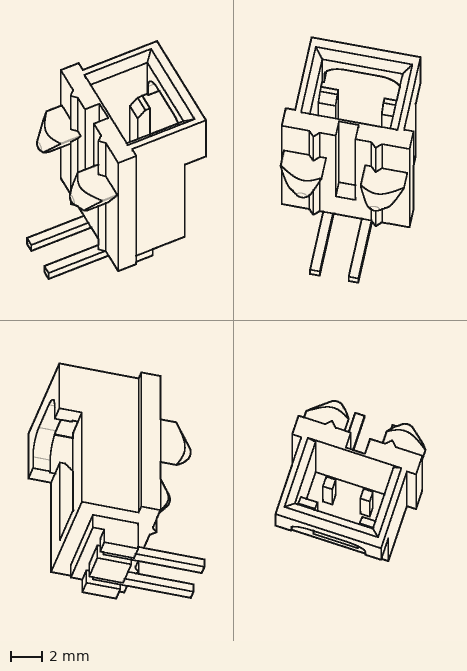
import cadquery as cq
import math


total_height = 13.59
housing_bottom = 2.15
housing_width = 7.15
housing_back = 6.59
lower_back = 5.08
overhang_bottom = 9.76

plate_width = 8.39
plate_thickness = 1.29
rib_outer_edge = 2.39
rib_depth = 0.35
key_slot_width = 1.29
key_slot_depth = 1.03
key_slot_bottom = 4.72

cavity_width = 5.27
cavity_front = 1.2
cavity_back = 5.44
cavity_floor = 3.15
lead_in = 0.53

window_width = 5.03
window_top = 12.1
window_corner_radius = 1.36

post_inner_x = 1.51
post_front = 4.19
post_ramp = 0.56

foot_width = 5.1
foot_front = 1.02
foot_back = 4.05
foot_lower_back = 3.29
foot_step = 1.07

pin_pitch = 2.53
pin_width = 0.64
pin_bottom = 0.4
pin_front = -3.7
pin_back = 2.88
pin_upright_depth = 0.67
pin_top = 8.15

peg_centre_x = 2.66
peg_top = 10.05
peg_side = 2.83
peg_corner_radius = 0.04
cone_axis_x = rib_outer_edge
cone_axis_z = 9.05
cone_slope = 50.0
cone_base_radius = 2.45
tip_radius = 0.33
tip_y = -2.43
dome_height = 0.08


def block(x_range, y_range, z_range):
    """Axis-aligned box between the given limits."""
    lows, highs = zip(x_range, y_range, z_range)
    sizes = [high - low for low, high in zip(lows, highs)]
    return cq.Workplane("XY").box(*sizes, centered=False).translate(lows)


def centred_block(width, y_range, z_range):
    """Box of the given width, symmetric about X = 0."""
    return block((-width / 2, width / 2), y_range, z_range)


def make_housing():
    upper = centred_block(housing_width, (0, housing_back), (overhang_bottom, total_height))
    lower = centred_block(housing_width, (0, lower_back), (housing_bottom, total_height))
    plate = centred_block(plate_width, (0, plate_thickness), (housing_bottom, total_height))
    return upper.union(lower).union(plate)


def make_rib():
    """V rib on the -X half of the plate; its base is sunk to the back of the plate."""
    rib_inner_edge = rib_outer_edge - 2 * rib_depth
    outline = [
        (-rib_outer_edge, plate_thickness),
        (-rib_outer_edge, 0),
        (-rib_outer_edge + rib_depth, -rib_depth),
        (-rib_inner_edge, 0),
        (-rib_inner_edge, plate_thickness),
    ]
    rib = cq.Workplane("XY").workplane(offset=housing_bottom).polyline(outline).close()
    return rib.extrude(total_height - housing_bottom)


def make_key_slot():
    return centred_block(key_slot_width, (-rib_depth, key_slot_depth), (key_slot_bottom, total_height))


def make_cavity():
    """Straight cavity whose mouth flares on three sides; the front wall stays plain."""
    cavity = centred_block(cavity_width, (cavity_front, cavity_back), (cavity_floor, total_height))
    mouth_width = cavity_width + 2 * lead_in
    mouth_depth = cavity_back + lead_in - cavity_front
    flare = (
        cq.Workplane("XY")
        .workplane(offset=total_height)
        .center(0, cavity_front)
        .rect(mouth_width, 2 * mouth_depth)
        .workplane(offset=-lead_in)
        .rect(cavity_width, 2 * (mouth_depth - lead_in))
        .loft(ruled=True)
    )
    back_half = centred_block(
        mouth_width, (cavity_front, cavity_back + lead_in), (total_height - lead_in, total_height)
    )
    return cavity.union(flare.intersect(back_half))


def make_window():
    window = centred_block(window_width, (lower_back, housing_back), (overhang_bottom, window_top))
    return window.edges("|Y and >Z").fillet(window_corner_radius)


def make_post():
    """Post in the +X back corner of the cavity."""
    post = block(
        (post_inner_x, housing_width / 2), (post_front, lower_back), (housing_bottom, overhang_bottom)
    )
    return post.edges("|X and >Z and <Y").chamfer(post_ramp)


def make_foot():
    upper = centred_block(foot_width, (foot_front, foot_back), (foot_step, cavity_floor))
    lower = centred_block(foot_width, (foot_front, foot_lower_back), (0, cavity_floor))
    foot = upper.union(lower)
    pin_slot = centred_block(pin_width, (foot_front, foot_lower_back), (0, foot_step))
    for side in (-1, 1):
        foot = foot.cut(pin_slot.translate((side * pin_pitch / 2, 0, 0)))
    return foot


def make_pin():
    """Right-angle pin centred on X = 0."""
    tail = centred_block(pin_width, (pin_front, pin_back), (pin_bottom, pin_bottom + pin_width))
    upright = centred_block(pin_width, (pin_back - pin_upright_depth, pin_back), (pin_bottom, pin_top))
    return tail.union(upright)


def make_peg():
    """Peg on the -X half of the plate: rounded triangular prism trimmed by a domed cone."""
    peg_bottom = peg_top - peg_side * math.sqrt(3) / 2
    prism = (
        cq.Workplane("XZ")
        .polyline(
            [
                (-peg_centre_x - peg_side / 2, peg_top),
                (-peg_centre_x + peg_side / 2, peg_top),
                (-peg_centre_x, peg_bottom),
            ]
        )
        .close()
        .extrude(-tip_y + dome_height)
        .edges("|Y")
        .fillet(peg_corner_radius)
    )
    cone_base_y = tip_y + (cone_base_radius - tip_radius) / math.tan(math.radians(cone_slope))
    dome_radius = (tip_radius**2 + dome_height**2) / (2 * dome_height)
    dome_centre_y = tip_y - dome_height + dome_radius
    half_angle = math.asin(tip_radius / dome_radius) / 2
    dome_middle = (dome_radius * math.sin(half_angle), dome_centre_y - dome_radius * math.cos(half_angle))
    envelope = (
        cq.Workplane("XY")
        .moveTo(0, tip_y - dome_height)
        .threePointArc(dome_middle, (tip_radius, tip_y))
        .lineTo(cone_base_radius, cone_base_y)
        .lineTo(cone_base_radius, 0)
        .lineTo(0, 0)
        .close()
        .revolve(360, (0, 0, 0), (0, 1, 0))
        .translate((-cone_axis_x, 0, cone_axis_z))
    )
    return prism.intersect(envelope)


def both_sides(feature):
    """The feature together with its mirror image across X = 0."""
    return feature.union(feature.mirror("YZ"))


result = make_housing().union(both_sides(make_rib()))
result = result.cut(make_key_slot()).cut(make_cavity()).cut(make_window())
result = result.union(both_sides(make_post())).union(make_foot())
result = result.union(both_sides(make_pin().translate((pin_pitch / 2, 0, 0))))
result = result.union(both_sides(make_peg()))